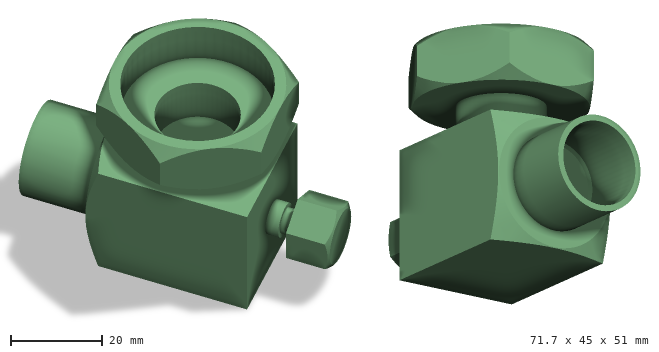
import cadquery as cq
import math


body_side = 30.0
body_inlet_reach = 20.6
body_length = 38.25
body_chamfer_length = 3.1
body_chamfer_face_dia = 29.7

tube_length = 17.3
tube_dia = 22.0
tube_bore_dia = 19.3
bore_end_dia = 18.0
bore_end_taper = 0.65

neck_length = 8.0
neck_dia = 20.05
neck_bore_dia = 19.0
nut_height = 13.0
nut_flats = 39.0
nut_recess_dia = 33.95
nut_recess_depth = 10.0
nut_chamfer_height = 3.0

stem_dia = 8.0
stem_length = 3.0
groove_dia = 6.0
groove_length = 1.3
flare_length = 1.7
cap_flats = 13.9
cap_tip_dia = 12.9
cap_chamfer_length = 0.9
overall_length = 71.65

inlet_face_x = -body_inlet_reach
tube_end_x = inlet_face_x - tube_length
outlet_face_x = inlet_face_x + body_length
groove_x = outlet_face_x + stem_length
flare_x = groove_x + groove_length
cap_x = flare_x + flare_length
cap_end_x = tube_end_x + overall_length
body_top_z = body_side / 2
nut_bottom_z = body_top_z + neck_length
nut_top_z = nut_bottom_z + nut_height


def across_corners(flats):
    """Corner-to-corner width of a hexagon with the given width across flats."""
    return flats / math.cos(math.pi / 6)


def revolve_about_x(profile):
    """Turn a closed (x, radius) profile about the X axis."""
    return cq.Workplane("XY").polyline(profile).close().revolve(360, (0, 0, 0), (1, 0, 0))


def revolve_about_z(profile):
    """Turn a closed (radius, z) profile about the Z axis."""
    return cq.Workplane("XZ").polyline(profile).close().revolve(360, (0, 0, 0), (0, 1, 0))


def make_body():
    block = cq.Workplane("XY").box(body_length, body_side, body_side)
    block = block.translate((inlet_face_x + body_length / 2, 0, 0))
    corner_radius = body_side / math.sqrt(2)
    shoulder_x = inlet_face_x + body_chamfer_length
    envelope = revolve_about_x([
        (inlet_face_x, 0),
        (inlet_face_x, body_chamfer_face_dia / 2),
        (shoulder_x, corner_radius),
        (outlet_face_x, corner_radius),
        (outlet_face_x, 0),
    ])
    return block.intersect(envelope)


def make_tube():
    return cq.Workplane("YZ", origin=(tube_end_x, 0, 0)).circle(tube_dia / 2).extrude(tube_length)


def make_tube_bore():
    """Blind bore as deep as the tube, narrowing in a short cone at its bottom."""
    return revolve_about_x([
        (tube_end_x, 0),
        (tube_end_x, tube_bore_dia / 2),
        (inlet_face_x - bore_end_taper, tube_bore_dia / 2),
        (inlet_face_x, bore_end_dia / 2),
        (inlet_face_x, 0),
    ])


def make_neck():
    return cq.Workplane("XY", origin=(0, 0, body_top_z)).circle(neck_dia / 2).extrude(neck_length)


def make_nut():
    """Hexagonal nut with corners on +Y and -Y, chamfered at both ends."""
    corner_dia = across_corners(nut_flats)
    hexagon = cq.Workplane("XY", origin=(0, 0, nut_bottom_z)).polygon(6, corner_dia).extrude(nut_height)
    hexagon = hexagon.rotate((0, 0, 0), (0, 0, 1), 30)
    envelope = revolve_about_z([
        (0, nut_bottom_z),
        (nut_flats / 2, nut_bottom_z),
        (corner_dia / 2, nut_bottom_z + nut_chamfer_height),
        (corner_dia / 2, nut_top_z - nut_chamfer_height),
        (nut_flats / 2, nut_top_z),
        (0, nut_top_z),
    ])
    return hexagon.intersect(envelope)


def make_nut_bore():
    """Wide recess in the nut above a narrower bore that ends level with the body top."""
    recess_floor_z = nut_top_z - nut_recess_depth
    return revolve_about_z([
        (0, body_top_z),
        (neck_bore_dia / 2, body_top_z),
        (neck_bore_dia / 2, recess_floor_z),
        (nut_recess_dia / 2, recess_floor_z),
        (nut_recess_dia / 2, nut_top_z),
        (0, nut_top_z),
    ])


def make_stem():
    """Round stem with a groove that flares out again to meet the cap."""
    return revolve_about_x([
        (outlet_face_x, 0),
        (outlet_face_x, stem_dia / 2),
        (groove_x, stem_dia / 2),
        (groove_x, groove_dia / 2),
        (flare_x, groove_dia / 2),
        (cap_x, stem_dia / 2),
        (cap_x, 0),
    ])


def make_cap():
    """Hexagonal cap with corners on +Z and -Z, chamfered at its free end."""
    corner_dia = across_corners(cap_flats)
    hexagon = cq.Workplane("YZ", origin=(cap_x, 0, 0)).polygon(6, corner_dia).extrude(cap_end_x - cap_x)
    hexagon = hexagon.rotate((0, 0, 0), (1, 0, 0), 30)
    envelope = revolve_about_x([
        (cap_x, 0),
        (cap_x, corner_dia / 2),
        (cap_end_x - cap_chamfer_length, corner_dia / 2),
        (cap_end_x, cap_tip_dia / 2),
        (cap_end_x, 0),
    ])
    return hexagon.intersect(envelope)


result = make_body()
for added_part in (make_tube(), make_neck(), make_nut(), make_stem(), make_cap()):
    result = result.union(added_part)
for bore in (make_tube_bore(), make_nut_bore()):
    result = result.cut(bore)